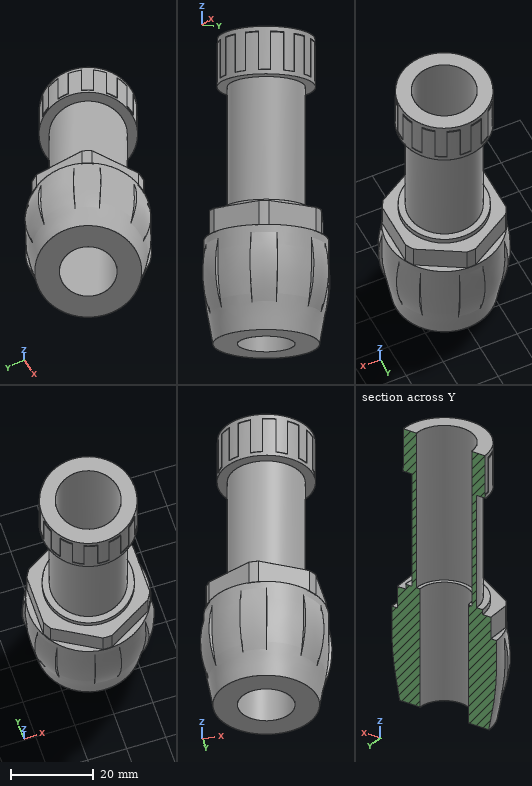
import cadquery as cq
import math

total_height = 77.0
body_height = 25.95
hex_height = 6.1
collar_height = 1.4
cap_height = 12.1
hex_top = body_height + hex_height
collar_top = hex_top + collar_height
cap_bottom = total_height - cap_height

body_radius = 30.5 / 2
base_radius = 26.0 / 2
cone_top_radius = 29.1 / 2
cone_top = 8.7
arc_top = 20.95

hex_across_flats = 27.25
hex_corner_diameter = 30.2
hex_turn = 30.0

collar_diameter = 22.5
tube_diameter = 19.0
bore_diameter = 14.0
socket_diameter = 16.0

grip_count = 6
grip_pitch = 360 / grip_count
grip_angle = 24.0
grip_bottom = 6.8
grip_top = 23.95
grip_crest_height = 16.55
grip_crest_diameter = 32.3
grip_root_radius = 11.55

cap_core_radius = 23.8 / 2
cap_rim_radius = 24.0 / 2
cap_rim_height = 1.15
tooth_count = 12
tooth_pitch = 360 / tooth_count
tooth_angle = 16.0
cap_lip_height = 1.2
tooth_top = total_height - cap_lip_height
tooth_bevel_height = 0.2
gap_tool_margin = 0.8
gap_inner_radius = cap_core_radius - gap_tool_margin
gap_outer_radius = cap_rim_radius + gap_tool_margin


def cylinder(diameter, bottom, top):
    """Upright cylinder on the Z axis between two levels."""
    return cq.Workplane("XY").workplane(offset=bottom).circle(diameter / 2).extrude(top - bottom)


def revolved_sector(profile, angle, middle_direction):
    """Revolve an XZ profile through an angle centred on a direction in degrees from +X."""
    sector = profile.revolve(angle, (0, 0, 0), (0, 1, 0))
    return sector.rotate((0, 0, 0), (0, 0, 1), middle_direction - angle / 2)


def cone_radius(height):
    """Radius of the lower body cone at a given height."""
    return base_radius + (cone_top_radius - base_radius) * height / cone_top


def make_body():
    return (
        cq.Workplane("XZ")
        .lineTo(base_radius, 0)
        .lineTo(cone_top_radius, cone_top)
        .tangentArcPoint((body_radius, arc_top), relative=False)
        .lineTo(body_radius, body_height)
        .lineTo(0, body_height)
        .close()
        .revolve(360, (0, 0, 0), (0, 1, 0))
    )


def make_grip(direction):
    profile = (
        cq.Workplane("XZ")
        .moveTo(grip_root_radius, grip_bottom)
        .lineTo(cone_radius(grip_bottom), grip_bottom)
        .threePointArc((grip_crest_diameter / 2, grip_crest_height), (body_radius, grip_top))
        .lineTo(grip_root_radius, grip_top)
        .close()
    )
    return revolved_sector(profile, grip_angle, direction)


def make_hex():
    corner_to_corner = hex_across_flats / math.cos(math.pi / 6)
    prism = (
        cq.Workplane("XY")
        .workplane(offset=body_height)
        .polygon(6, corner_to_corner)
        .extrude(hex_height)
        .rotate((0, 0, 0), (0, 0, 1), hex_turn)
    )
    return prism.intersect(cylinder(hex_corner_diameter, body_height, hex_top))


def make_tooth_gap(direction):
    gap_bottom = cap_bottom + cap_rim_height
    profile = (
        cq.Workplane("XZ")
        .moveTo(gap_inner_radius, gap_bottom)
        .lineTo(gap_outer_radius, gap_bottom)
        .lineTo(gap_outer_radius, tooth_top)
        .lineTo(gap_inner_radius, tooth_top)
        .close()
    )
    return revolved_sector(profile, tooth_pitch - tooth_angle, direction)


def make_cap():
    teeth = (
        cq.Workplane("XZ")
        .moveTo(0, cap_bottom)
        .lineTo(cap_rim_radius, cap_bottom)
        .lineTo(cap_rim_radius, tooth_top - tooth_bevel_height)
        .lineTo(cap_core_radius, tooth_top)
        .lineTo(0, tooth_top)
        .close()
        .revolve(360, (0, 0, 0), (0, 1, 0))
    )
    for index in range(tooth_count):
        teeth = teeth.cut(make_tooth_gap(index * tooth_pitch))
    return teeth.union(cylinder(2 * cap_core_radius, cap_bottom, total_height))


result = make_body()
for index in range(grip_count):
    result = result.union(make_grip((index + 0.5) * grip_pitch))

result = result.union(make_hex())
result = result.union(cylinder(collar_diameter, hex_top, collar_top))
result = result.union(cylinder(tube_diameter, collar_top, cap_bottom))
result = result.union(make_cap())

result = result.cut(cylinder(bore_diameter, 0, total_height))
result = result.cut(cylinder(socket_diameter, collar_top, total_height))